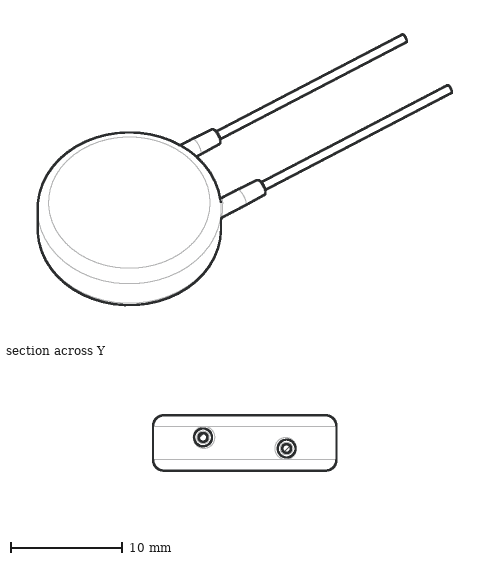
import cadquery as cq

DISC_DIAMETER = 16.5
DISC_THICKNESS = 5.0
DISC_EDGE_RADIUS = 1.0

OVERALL_LENGTH = 40.0
LEAD_PITCH = 7.5
LEAD_HEIGHT_OFFSET = 0.5
WIRE_DIAMETER = 0.8
LEAD_TIP_Y = OVERALL_LENGTH - DISC_DIAMETER / 2

SLEEVE_DIAMETER = 1.6
SLEEVE_TIP_DIAMETER = 1.5
TAPER_START_Y = 9.55
SLEEVE_TIP_Y = 11.75
SLEEVE_TIP_RADIUS = 0.2
ROOT_FILLET_RADIUS = 0.19

LEAD_START_Y = 4.0


def make_disc():
    """Flat round body with both rims rounded."""
    disc = cq.Workplane("XY").cylinder(DISC_THICKNESS, DISC_DIAMETER / 2)
    return disc.edges("%CIRCLE").fillet(DISC_EDGE_RADIUS)


def make_sleeve(x, z):
    """Sleeve: a cylinder, then a slight taper to a rounded tip."""
    base_radius = SLEEVE_DIAMETER / 2
    tip_radius = SLEEVE_TIP_DIAMETER / 2
    profile = (
        cq.Workplane("XY")
        .moveTo(0, LEAD_START_Y)
        .lineTo(base_radius, LEAD_START_Y)
        .lineTo(base_radius, TAPER_START_Y)
        .lineTo(tip_radius, SLEEVE_TIP_Y)
        .lineTo(0, SLEEVE_TIP_Y)
        .close()
    )
    sleeve = profile.revolve(360, (0, 0, 0), (0, 1, 0))
    return sleeve.faces(">Y").edges().fillet(SLEEVE_TIP_RADIUS).translate((x, 0, z))


def make_wire(x, z):
    """Bare round wire from inside the disc to the lead tip."""
    wire = cq.Solid.makeCylinder(
        WIRE_DIAMETER / 2,
        LEAD_TIP_Y - LEAD_START_Y,
        cq.Vector(x, LEAD_START_Y, z),
        cq.Vector(0, 1, 0),
    )
    return cq.Workplane(obj=wire)


def fillet_sleeve_roots(body):
    """Round the corner where each sleeve leaves the side of the disc."""
    root_edges = body.edges("not %CIRCLE").edges("not %LINE")
    return root_edges.fillet(ROOT_FILLET_RADIUS)


lead_positions = [(side * LEAD_PITCH / 2, side * LEAD_HEIGHT_OFFSET) for side in (-1, 1)]

body = make_disc()
for x, z in lead_positions:
    body = body.union(make_sleeve(x, z))
body = fillet_sleeve_roots(body)
for x, z in lead_positions:
    body = body.union(make_wire(x, z))

result = body.solids()